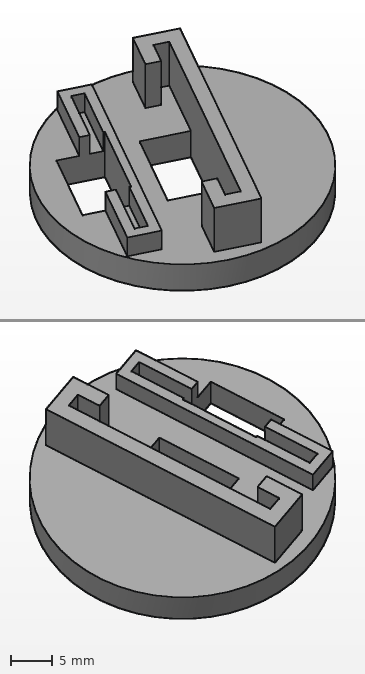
import cadquery as cq

base_diameter = 37.0
base_height = 4.2

tall_length = 33.15
tall_depth = 6.0
tall_height = 7.0
tall_wall = 2.0
tall_lip_length = 5.15
tall_back_y = 4.85

low_length = 28.5
low_height = 3.0
low_wall = 1.35
low_slot_depth = 1.7
low_back_y = -7.05

tall_window_length = 11.5
tall_window_depth = 6.5
low_window_length = 10.62
low_window_depth = 6.15
low_window_wall_cut = 0.22


def block(length, depth, height, back_y, bottom_z):
    """Box centred on X, running from back_y toward -Y and upward from bottom_z."""
    return (
        cq.Workplane("XY")
        .box(length, depth, height, centered=(True, False, False))
        .translate((0, back_y - depth, bottom_z))
    )


def tall_holder():
    inner_back_y = tall_back_y - tall_wall
    channel_depth = tall_depth - 2 * tall_wall
    opening_length = tall_length - 2 * tall_lip_length
    body = block(tall_length, tall_depth, tall_height, tall_back_y, base_height)
    channel = block(tall_length - 2 * tall_wall, channel_depth, tall_height, inner_back_y, base_height)
    opening = block(opening_length, tall_depth - tall_wall, tall_height, inner_back_y, base_height)
    return body.cut(channel).cut(opening)


def low_holder():
    low_depth = low_slot_depth + 2 * low_wall
    body = block(low_length, low_depth, low_height, low_back_y, base_height)
    slot = block(low_length - 2 * low_wall, low_slot_depth, low_height, low_back_y - low_wall, base_height)
    return body.cut(slot)


tall_window = block(tall_window_length, tall_window_depth, base_height, tall_back_y - tall_wall, 0)

low_window_back_y = low_back_y - low_wall + low_window_wall_cut
low_window = block(low_window_length, low_window_depth, base_height + low_height, low_window_back_y, 0)

base = cq.Workplane("XY").circle(base_diameter / 2).extrude(base_height)
result = base.union(tall_holder()).union(low_holder()).cut(tall_window).cut(low_window)